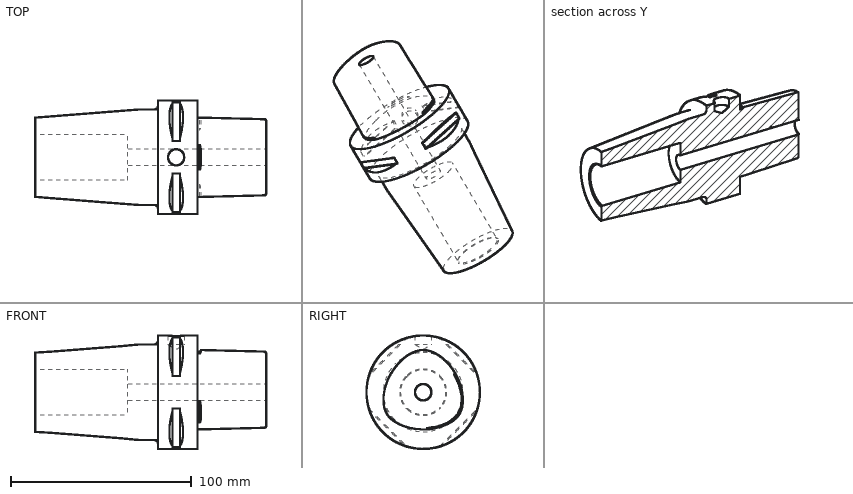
import cadquery as cq
import math

total_length = 128.0
shank_length = 38.0
flange_width = 22.0
neck_length = 11.0
flange_back = total_length - shank_length
flange_front = flange_back - flange_width
neck_start = flange_front - neck_length

flange_diameter = 63.0
flange_radius = flange_diameter / 2
neck_diameter = 53.0
neck_radius = neck_diameter / 2
nose_taper = math.radians(4.5)
nose_radius = neck_radius - neck_start * math.tan(nose_taper)
neck_fillet = 1.9

bore_diameter = 25.0
bore_radius = bore_diameter / 2
bore_depth = 51.2
bore_chamfer = 0.5
coolant_diameter = 9.0
coolant_radius = coolant_diameter / 2

shank_mean_radius = 22.0
lobe_count = 3
shank_lobe = 1.4
shank_land_length = 3.0
shank_taper = 1 / 40
shank_tip_fillet = 1.3
spans_per_lobe = 12
relief_radius = 22.5
relief_length = 1.8
relief_fillet = 0.8

slot_to_flange_back = 11.9
slot_x = flange_back - slot_to_flange_back
slot_floor_distance = 27.6
slot_wall_height = 0.6
slot_floor_width = 4.0
slot_flank = math.radians(30)
slot_angles = (45, 135, 225, 315)
dimple_diameter = 9.0
dimple_radius = dimple_diameter / 2
dimple_depth = 5.1
drill_point_half_angle = math.radians(59)


def make_body():
    """Tapered nose, neck with a fillet, and flange, turned about X."""
    return (
        cq.Workplane("XY")
        .lineTo(0, nose_radius)
        .lineTo(neck_start, neck_radius)
        .lineTo(flange_front - neck_fillet, neck_radius)
        .radiusArc((flange_front, neck_radius + neck_fillet), -neck_fillet)
        .lineTo(flange_front, flange_radius)
        .lineTo(flange_back, flange_radius)
        .lineTo(flange_back, 0)
        .close()
        .revolve(360, (0, 0, 0), (1, 0, 0))
    )


def lobed_point(x, angle, mean_radius):
    """Point at x of a three-lobed curve; the angle of its normal is measured from +Z.

    The tangent there lies mean_radius + shank_lobe * cos(3 * angle) away from the X axis.
    """
    y = mean_radius * math.sin(angle) - shank_lobe * (2 * math.sin(2 * angle) + math.sin(4 * angle))
    z = mean_radius * math.cos(angle) + shank_lobe * (2 * math.cos(2 * angle) - math.cos(4 * angle))
    return cq.Vector(x, y, z)


def lobed_wire(x, mean_radius):
    """Closed three-lobed wire at x, one curve per lobe, joined at the middle of the flats."""
    lobe_angle = 2 * math.pi / lobe_count
    edges = []
    for lobe in range(lobe_count):
        start = (lobe - 0.5) * lobe_angle
        steps = [start + lobe_angle * i / spans_per_lobe for i in range(spans_per_lobe + 1)]
        points = [lobed_point(x, angle, mean_radius) for angle in steps]
        tangents = [cq.Vector(0, math.cos(angle), -math.sin(angle)) for angle in (steps[0], steps[-1])]
        edges.append(cq.Edge.makeSpline(points, tangents))
    return cq.Wire.assembleEdges(edges)


def lobed_segment(x_start, x_end, radius_start, radius_end):
    """Solid between two lobed wires."""
    wires = [lobed_wire(x_start, radius_start), lobed_wire(x_end, radius_end)]
    return cq.Workplane(cq.Solid.makeLoft(wires, True))


def make_shank():
    """Straight lobed land followed by the tapered lobed shank with a rounded tip."""
    taper_start = flange_back + shank_land_length
    tip_radius = shank_mean_radius - (total_length - taper_start) * shank_taper
    land = lobed_segment(flange_back, taper_start, shank_mean_radius, shank_mean_radius)
    cone = lobed_segment(taper_start, total_length, shank_mean_radius, tip_radius)
    return land.union(cone.faces(">X").edges().fillet(shank_tip_fillet))


def make_lobe_relief():
    """Ring beside the flange that shaves the lobe crests down to a round groove."""
    relief_end = flange_back + relief_length
    return (
        cq.Workplane("XY")
        .moveTo(flange_back, relief_radius)
        .lineTo(relief_end - relief_fillet, relief_radius)
        .radiusArc((relief_end, relief_radius + relief_fillet), -relief_fillet)
        .lineTo(relief_end, neck_radius)
        .lineTo(flange_back, neck_radius)
        .close()
        .revolve(360, (0, 0, 0), (1, 0, 0))
    )


def make_bores():
    """Clamping bore with a broken edge, and the coolant hole through the whole part."""
    mouth_radius = bore_radius + bore_chamfer
    return (
        cq.Workplane("XY")
        .lineTo(0, mouth_radius)
        .lineTo(bore_chamfer, bore_radius)
        .lineTo(bore_depth, bore_radius)
        .lineTo(bore_depth, coolant_radius)
        .lineTo(total_length, coolant_radius)
        .lineTo(total_length, 0)
        .close()
        .revolve(360, (0, 0, 0), (1, 0, 0))
    )


def make_gripper_slot(angle):
    """Straight slot with upright walls and flared flanks, turned about X by angle from +Z."""
    wall_top = slot_floor_distance + slot_wall_height
    half_floor = slot_floor_width / 2
    half_mouth = half_floor + (flange_radius - wall_top) * math.tan(slot_flank)
    slot = (
        cq.Workplane("XZ")
        .moveTo(slot_x - half_floor, slot_floor_distance)
        .lineTo(slot_x + half_floor, slot_floor_distance)
        .lineTo(slot_x + half_floor, wall_top)
        .lineTo(slot_x + half_mouth, flange_radius)
        .lineTo(slot_x - half_mouth, flange_radius)
        .lineTo(slot_x - half_floor, wall_top)
        .close()
        .extrude(flange_radius, both=True)
    )
    return slot.rotate((0, 0, 0), (1, 0, 0), angle)


def make_dimple():
    """Drilled orientation dimple on the +Z side of the flange."""
    floor = flange_radius - dimple_depth
    tip = floor - dimple_radius / math.tan(drill_point_half_angle)
    return (
        cq.Workplane("XZ")
        .moveTo(slot_x, flange_radius)
        .lineTo(slot_x + dimple_radius, flange_radius)
        .lineTo(slot_x + dimple_radius, floor)
        .lineTo(slot_x, tip)
        .close()
        .revolve(360, (slot_x, 0, 0), (slot_x, 1, 0))
    )


result = make_body().union(make_shank().cut(make_lobe_relief()))
for slot_angle in slot_angles:
    result = result.cut(make_gripper_slot(slot_angle))
result = result.cut(make_dimple()).cut(make_bores())